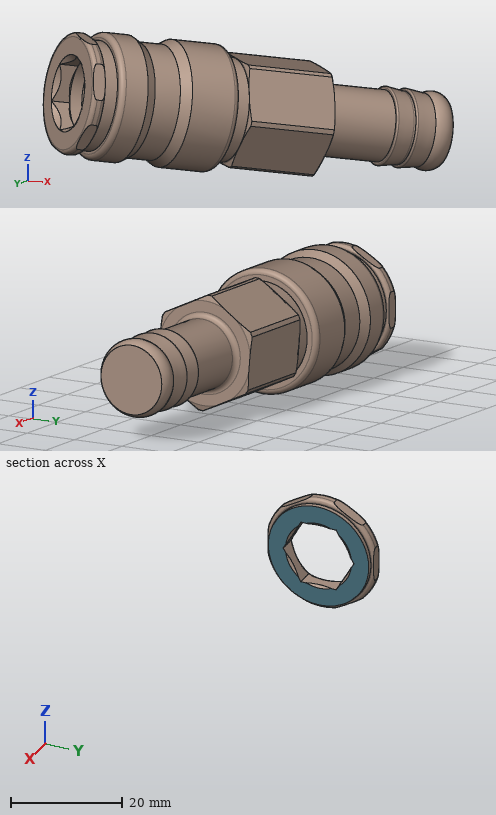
import cadquery as cq
import math


flats_along_y = 30.0

collar_diameter = 22.05
collar_flats = 21.0
collar_length = 2.5
collar_rounding = 0.8
front_neck_diameter = 20.1

sleeve_diameter = 23.15
sleeve_start = 5.1
sleeve_end = 28.75
sleeve_rounding = 1.0
groove_diameter = 21.0
groove_slope_start = 10.45
groove_start = 12.35
groove_end = 17.35
groove_slope_end = 19.25
rear_neck_diameter = 18.95

bore_diameter = 14.0
bore_depth = 6.0
socket_length = 3.7
socket_flats = bore_diameter * math.cos(math.pi / 6)
socket_lead_in = 0.95
socket_lead_out = 0.7

hexagon_start = 31.5
hexagon_end = 48.5
hexagon_flats = 19.0
hexagon_corner_diameter = 21.45
hexagon_end_diameter = 19.3
hexagon_chamfer_length = 0.3
hexagon_turn = -5.0

tail_end = 73.5
tube_diameter = 13.1
tube_root_rounding = 1.0
barb_crest_diameter = 14.4
barb_foot_diameter = 13.4
barb_rounding = 0.3
barb_walls = (62.0, 65.9)
barb_foot_ends = (65.55, 69.9)
bead_diameter = 14.4
bead_peak = 71.5
bead_end_diameter = 12.8

arc_middle = 1 - math.sqrt(0.5)


def revolve_about_x(outline):
    """Turn an open outline, drawn in the XY plane and starting and ending on the X axis."""
    return outline.close().revolve(360, (0, 0, 0), (1, 0, 0))


def hexagon_prism(start, end, flats, turn):
    """Hexagonal prism along X; at turn 0 two of its corners point along Y."""
    corner_circle = flats / math.cos(math.pi / 6)
    prism = cq.Workplane("YZ", origin=(start, 0, 0)).polygon(6, corner_circle).extrude(end - start)
    return prism.rotate((0, 0, 0), (1, 0, 0), turn)


def rounded_collar():
    """Disc with rounded rims and six wrench flats, two of which face along Y."""
    radius = collar_diameter / 2
    disc = cq.Workplane("YZ").circle(radius).extrude(collar_length).edges().fillet(collar_rounding)
    return disc.intersect(hexagon_prism(0, collar_length, collar_flats, flats_along_y))


def sleeve_and_necks():
    sleeve_radius = sleeve_diameter / 2
    groove_radius = groove_diameter / 2
    corner = sleeve_rounding * arc_middle
    shoulder_radius = sleeve_radius - sleeve_rounding
    outline = (
        cq.Workplane("XY")
        .moveTo(collar_length, 0)
        .lineTo(collar_length, front_neck_diameter / 2)
        .lineTo(sleeve_start, front_neck_diameter / 2)
        .lineTo(sleeve_start, shoulder_radius)
        .threePointArc(
            (sleeve_start + corner, sleeve_radius - corner),
            (sleeve_start + sleeve_rounding, sleeve_radius),
        )
        .lineTo(groove_slope_start, sleeve_radius)
        .lineTo(groove_start, groove_radius)
        .lineTo(groove_end, groove_radius)
        .lineTo(groove_slope_end, sleeve_radius)
        .lineTo(sleeve_end - sleeve_rounding, sleeve_radius)
        .threePointArc(
            (sleeve_end - corner, sleeve_radius - corner),
            (sleeve_end, shoulder_radius),
        )
        .lineTo(sleeve_end, rear_neck_diameter / 2)
        .lineTo(hexagon_start, rear_neck_diameter / 2)
        .lineTo(hexagon_start, 0)
    )
    return revolve_about_x(outline)


def socket_cavity():
    """Round bore narrowed by a hexagonal ring that is coned at both ends."""
    bore_radius = bore_diameter / 2
    flat_radius = socket_flats / 2
    round_space = revolve_about_x(
        cq.Workplane("XY")
        .moveTo(0, 0)
        .lineTo(0, bore_radius)
        .lineTo(socket_lead_in, flat_radius)
        .lineTo(socket_length - socket_lead_out, flat_radius)
        .lineTo(socket_length, bore_radius)
        .lineTo(bore_depth, bore_radius)
        .lineTo(bore_depth, 0)
    )
    return round_space.union(hexagon_prism(0, socket_length, socket_flats, 0))


def make_coupling():
    return rounded_collar().union(sleeve_and_necks()).cut(socket_cavity())


def wrench_hexagon():
    end_radius = hexagon_end_diameter / 2
    corner_radius = hexagon_corner_diameter / 2
    envelope = revolve_about_x(
        cq.Workplane("XY")
        .moveTo(hexagon_start, 0)
        .lineTo(hexagon_start, end_radius)
        .lineTo(hexagon_start + hexagon_chamfer_length, corner_radius)
        .lineTo(hexagon_end - hexagon_chamfer_length, corner_radius)
        .lineTo(hexagon_end, end_radius)
        .lineTo(hexagon_end, 0)
    )
    prism = hexagon_prism(hexagon_start, hexagon_end, hexagon_flats, flats_along_y + hexagon_turn)
    return envelope.intersect(prism)


def barbed_tube():
    tube_radius = tube_diameter / 2
    crest_radius = barb_crest_diameter / 2
    foot_radius = barb_foot_diameter / 2
    root = tube_root_rounding * arc_middle
    crest = barb_rounding * arc_middle
    outline = (
        cq.Workplane("XY")
        .moveTo(hexagon_end, 0)
        .lineTo(hexagon_end, tube_radius + tube_root_rounding)
        .threePointArc(
            (hexagon_end + root, tube_radius + root),
            (hexagon_end + tube_root_rounding, tube_radius),
        )
        .lineTo(barb_walls[0], tube_radius)
    )
    for wall, foot_end in zip(barb_walls, barb_foot_ends):
        outline = (
            outline.lineTo(wall, crest_radius - barb_rounding)
            .threePointArc(
                (wall + crest, crest_radius - crest),
                (wall + barb_rounding, crest_radius),
            )
            .lineTo(foot_end, foot_radius)
        )
        next_walls = [other for other in barb_walls if other > foot_end]
        if next_walls:
            outline = outline.lineTo(next_walls[0], foot_radius)
    outline = outline.threePointArc(
        (bead_peak, bead_diameter / 2), (tail_end, bead_end_diameter / 2)
    ).lineTo(tail_end, 0)
    return revolve_about_x(outline)


def make_hose_tail():
    return wrench_hexagon().union(barbed_tube())


coupling = make_coupling()
hose_tail = make_hose_tail()
result = cq.Compound.makeCompound([coupling.val(), hose_tail.val()])